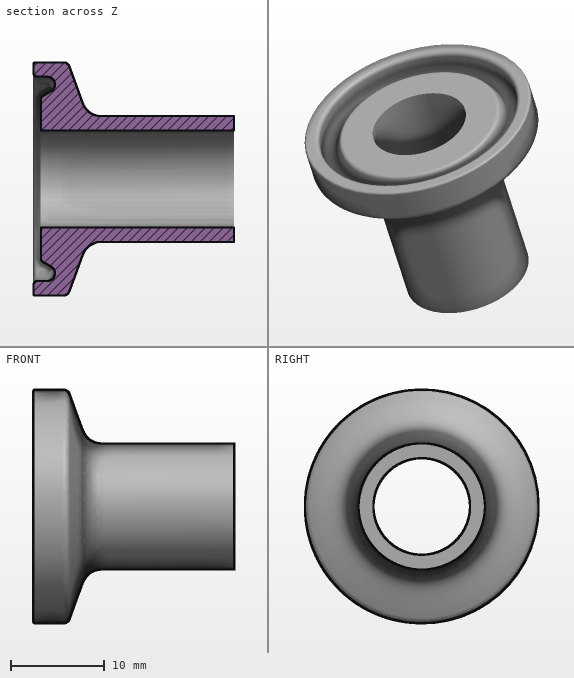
import cadquery as cq
import math

length = 21.5
flange_radius = 12.5
tube_radius = 6.75
bore_radius = 5.15

rim_width = 3.72
taper = math.radians(20)
rim_front_fillet = 0.25
rim_back_fillet = 0.75
neck_fillet = 2.0

groove_outer_radius = 10.9
groove_depth = 2.3
groove_floor_radius = 0.8
groove_wall_angle = math.radians(30)
groove_lip_fillet = 0.48

face_recess = 0.8

neck_x = rim_width + (flange_radius - tube_radius) * math.tan(taper)
floor_center_x = groove_depth - groove_floor_radius
floor_center_r = groove_outer_radius - groove_floor_radius
wall_start_x = floor_center_x + groove_floor_radius * math.sin(groove_wall_angle)
wall_start_r = floor_center_r - groove_floor_radius * math.cos(groove_wall_angle)
groove_inner_radius = wall_start_r - (wall_start_x - face_recess) * math.tan(groove_wall_angle)


def revolve_about_x(profile):
    return profile.close().revolve(360, (0, 0, 0), (1, 0, 0))


def fillet_circle(body, x, circle_radius, fillet_radius):
    """Round the circular edge of the given radius lying in the plane at x."""
    tolerance = 0.002
    edges = body.edges("%CIRCLE").filter(
        lambda edge: abs(edge.radius() - circle_radius) < tolerance
        and abs(edge.arcCenter().x - x) < tolerance
    )
    return body.newObject(edges.vals()).fillet(fillet_radius)


def make_body():
    profile = (
        cq.Workplane("XY")
        .moveTo(0, bore_radius)
        .lineTo(0, flange_radius)
        .lineTo(rim_width, flange_radius)
        .lineTo(neck_x, tube_radius)
        .lineTo(length, tube_radius)
        .lineTo(length, bore_radius)
    )
    body = revolve_about_x(profile)
    body = fillet_circle(body, 0, flange_radius, rim_front_fillet)
    body = fillet_circle(body, rim_width, flange_radius, rim_back_fillet)
    return fillet_circle(body, neck_x, tube_radius, neck_fillet)


def make_groove():
    mid_angle = groove_wall_angle / 2
    floor_mid = (
        floor_center_x + groove_floor_radius * math.cos(mid_angle),
        floor_center_r - groove_floor_radius * math.sin(mid_angle),
    )
    profile = (
        cq.Workplane("XY")
        .moveTo(face_recess, bore_radius)
        .lineTo(0, bore_radius)
        .lineTo(0, groove_outer_radius)
        .lineTo(floor_center_x, groove_outer_radius)
        .threePointArc(floor_mid, (wall_start_x, wall_start_r))
        .lineTo(face_recess, groove_inner_radius)
    )
    return revolve_about_x(profile)


result = make_body().cut(make_groove())
result = fillet_circle(result, face_recess, groove_inner_radius, groove_lip_fillet)
result = fillet_circle(result, 0, groove_outer_radius, groove_lip_fillet)